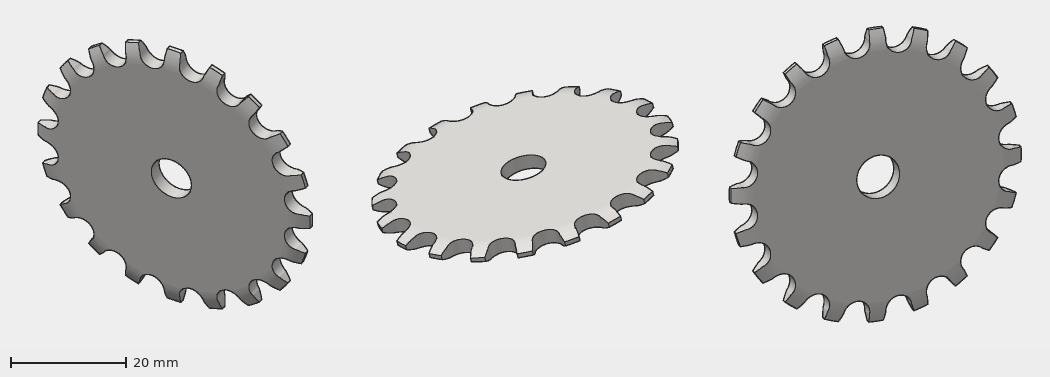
import cadquery as cq
import math

tooth_count = 20
outer_radius = 27.2
thickness = 2.8
bore_diameter = 8.0

root_radius = 22.9
pocket_radius = 2.45
tip_half_width = 1.35

flat_face_radius = 23.4
side_arc_radius = 8.0

half_thickness = thickness / 2
pitch_angle = 360 / tooth_count
pocket_centre_radius = root_radius + pocket_radius
cut_radius = outer_radius + pocket_radius


def side_arc_point(radius):
    """Point of the rounded tooth side at a given distance from the axis."""
    rise = radius - flat_face_radius
    drop = side_arc_radius - math.sqrt(side_arc_radius**2 - rise**2)
    return radius, half_thickness - drop


def mirrored(point):
    return point[0], -point[1]


def make_blank():
    """Disc turned about Y, with a rim that narrows on both sides along tangent arcs."""
    arc_start = (flat_face_radius, half_thickness)
    arc_middle = side_arc_point((flat_face_radius + outer_radius) / 2)
    arc_end = side_arc_point(outer_radius)
    return (
        cq.Workplane("XY")
        .moveTo(0, -half_thickness)
        .lineTo(*mirrored(arc_start))
        .threePointArc(mirrored(arc_middle), mirrored(arc_end))
        .lineTo(*arc_end)
        .threePointArc(arc_middle, arc_start)
        .lineTo(0, half_thickness)
        .close()
        .revolve(360, (0, 0, 0), (0, 1, 0))
    )


def make_gap_cutter():
    """Gap between two teeth, centred on +Z: a half-round pocket with straight flanks."""
    tip_angle = math.radians(pitch_angle / 2) - math.asin(tip_half_width / outer_radius)
    tip_x = outer_radius * math.sin(tip_angle)
    tip_z = outer_radius * math.cos(tip_angle)
    flank_slope = (tip_x - pocket_radius) / (tip_z - pocket_centre_radius)
    cut_x = tip_x + flank_slope * (cut_radius - tip_z)
    return (
        cq.Workplane("XZ")
        .moveTo(-pocket_radius, pocket_centre_radius)
        .threePointArc((0, root_radius), (pocket_radius, pocket_centre_radius))
        .lineTo(cut_x, cut_radius)
        .lineTo(-cut_x, cut_radius)
        .close()
        .extrude(half_thickness, both=True)
    )


sprocket = make_blank()

gap_cutter = make_gap_cutter()
for tooth in range(tooth_count):
    gap_angle = (tooth + 0.5) * pitch_angle
    sprocket = sprocket.cut(gap_cutter.rotate((0, 0, 0), (0, 1, 0), gap_angle))

bore = cq.Workplane("XZ").circle(bore_diameter / 2).extrude(half_thickness, both=True)
result = sprocket.cut(bore)